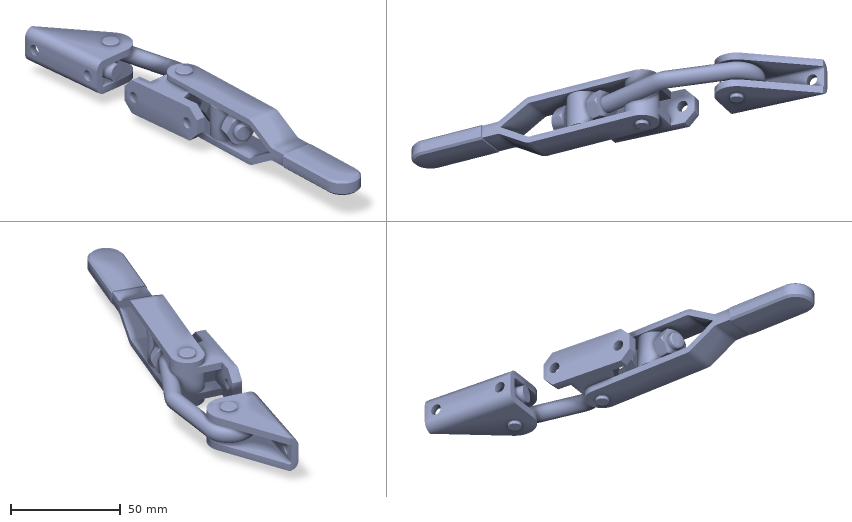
import cadquery as cq
import math


overall_length = 204.3
half_width = 8.5
plate = 3.5
pin_height = 18.8
pin_radius = 3.0
pin_head_radius = 4.0
pin_head_chamfer = 0.5
pin_head_height = 1.2
pin_stub_height = 1.6
screw_hole_diameter = 5.3
screw_spacing = 35.0

catch_length = 47.0
catch_nose_radius = 10.2
catch_bend_radius = 4.5
catch_pin = (catch_length - catch_nose_radius, pin_height)
catch_hole_x = 6.1

base_start = 65.0
base_length = 47.5
base_thickness = 5.0
base_corner = 5.0
base_hole_inset = 6.1
arm_radius = 8.0
pivot = (84.8, pin_height)
upright_foot_x = 98.7

lever_tilt = -3.9
lever_thickness = 3.0
bend_start = 55.2
bend_angle = 30.0
bend_inner_radius = 3.0
grip_start = 79.7
grip_margin = 0.6
grip_edge = 1.0

rod_radius = 4.0
hook_radius = 9.0
hook_tilt = 9.2
hook_tail = 10.0
hook_leg = 32.7
rod_bend_radius = 8.2
trunnion_distance = 30.5
trunnion_radius = 8.0
trunnion_half_length = 8.2
nut_width = 12.9
nut_height = 6.5
nut_chamfer = 0.8
rod_overhang = 2.7
rod_chamfer = 0.6


def along(start, angle, distance):
    """Point at a distance from the start, in the direction given in degrees."""
    turn = math.radians(angle)
    return (start[0] + distance * math.cos(turn), start[1] + distance * math.sin(turn))


def tangent_angle(point, center, radius, side):
    """Direction, from the center, of the point where the tangent from an outside point touches the circle."""
    dx, dy = point[0] - center[0], point[1] - center[1]
    return math.degrees(math.atan2(dy, dx) + side * math.acos(radius / math.hypot(dx, dy)))


def slab(outline, bottom, top):
    """Closed XY outline extruded between two Z levels."""
    return outline.extrude(top - bottom).translate((0, 0, bottom))


def disc(center, radius, bottom, top):
    return slab(cq.Workplane("XY").center(*center).circle(radius), bottom, top)


def pin(center, reach):
    """Headed pin through walls whose outer faces lie at Z = +reach and -reach."""
    shank = disc(center, pin_radius, -reach - pin_stub_height, reach)
    head = disc(center, pin_head_radius, reach, reach + pin_head_height).faces(">Z").chamfer(pin_head_chamfer)
    return shank.union(head)


def screw_holes(first_x, depth):
    """Two holes through a wall standing on the mounting face."""
    holes = cq.Workplane("XZ").pushPoints([(first_x, 0), (first_x + screw_spacing, 0)])
    return holes.circle(screw_hole_diameter / 2).extrude(-depth)


def make_catch():
    """Channel with two pointed cheeks, its screw holes and its pin."""
    height = pin_height + catch_nose_radius
    channel = (
        cq.Workplane("XY")
        .box(catch_length, height, 2 * half_width, centered=(False, False, True))
        .edges("|X and <Y").fillet(catch_bend_radius)
    )
    hollow = (
        cq.Workplane("XY")
        .box(catch_length, height, 2 * (half_width - plate), centered=(False, False, True))
        .edges("|X and <Y").fillet(catch_bend_radius - plate)
        .translate((0, plate, 0))
    )
    slope_start = (0, catch_bend_radius)
    touch = tangent_angle(slope_start, catch_pin, catch_nose_radius, -1)
    cheek = (
        cq.Workplane("XY")
        .polyline([slope_start, (0, 0), (catch_length, 0), (catch_length, pin_height)])
        .threePointArc(along(catch_pin, 45, catch_nose_radius), along(catch_pin, touch, catch_nose_radius))
        .close()
    )
    bracket = channel.cut(hollow).intersect(slab(cheek, -half_width, half_width))
    return bracket.cut(screw_holes(catch_hole_x, plate)).union(pin(catch_pin, half_width))


def make_base():
    """Mounting plate with a forked upright that carries the pivot hub."""
    foot = (
        cq.Workplane("XY")
        .box(base_length, base_thickness, 2 * half_width, centered=(False, False, True))
        .edges("|Y").chamfer(base_corner)
        .translate((base_start, 0, 0))
        .cut(screw_holes(base_start + base_hole_inset, base_thickness))
    )
    front_x = pivot[0] - arm_radius
    rear_foot = (upright_foot_x, base_thickness)
    touch = along(pivot, tangent_angle(rear_foot, pivot, arm_radius, 1), arm_radius)
    upright = (
        cq.Workplane("XY")
        .polyline([touch, rear_foot, (front_x, base_thickness), (front_x, pin_height)])
        .threePointArc((pivot[0], pin_height + arm_radius), touch)
        .close()
    )
    fork_gap = 2 * (half_width - plate)
    recess = (
        cq.Workplane("XY")
        .box(arm_radius, pin_height + arm_radius - base_thickness, fork_gap, centered=(False, False, True))
        .translate((front_x, base_thickness, 0))
    )
    hub = disc(pivot, arm_radius, -half_width, half_width)
    return foot.union(slab(upright, -half_width, half_width).cut(recess)).union(hub)


def lever_arm():
    """Upper half of the lever strip, straight along X from the pivot at the origin."""
    slope = math.tan(math.radians(bend_angle))
    outer_z = half_width + lever_thickness
    outer_bend = bend_start + lever_thickness * math.tan(math.radians(bend_angle / 2))
    strip_start = outer_bend + (outer_z - lever_thickness) / slope
    side = (
        cq.Workplane("XZ")
        .moveTo(0, half_width)
        .lineTo(bend_start, half_width)
        .lineTo(bend_start + half_width / slope, 0)
        .lineTo(grip_start, 0)
        .lineTo(grip_start, lever_thickness)
        .lineTo(strip_start, lever_thickness)
        .lineTo(outer_bend, outer_z)
        .lineTo(0, outer_z)
        .close()
        .extrude(arm_radius, both=True)
    )

    def bend_edge(x, z):
        return cq.selectors.NearestToPointSelector((x, 0, z))

    bent = (
        side.edges(bend_edge(outer_bend, outer_z)).fillet(bend_inner_radius + lever_thickness)
        .edges(bend_edge(bend_start, half_width)).fillet(bend_inner_radius)
        .edges(bend_edge(strip_start, lever_thickness)).fillet(bend_inner_radius)
    )
    return bent.union(disc((0, 0), arm_radius, half_width, outer_z))


def make_lever():
    """Two arms that join into a strip, with a round-ended grip over the end of the strip."""
    arm = lever_arm()
    grip_radius = arm_radius + grip_margin
    grip_half = lever_thickness + grip_margin
    grip_end = (overall_length - grip_radius - pivot[0]) / math.cos(math.radians(lever_tilt))
    grip_outline = (
        cq.Workplane("XY")
        .moveTo(grip_start, -grip_radius)
        .lineTo(grip_end, -grip_radius)
        .threePointArc((grip_end + grip_radius, 0), (grip_end, grip_radius))
        .lineTo(grip_start, grip_radius)
        .close()
    )
    grip = slab(grip_outline, -grip_half, grip_half).faces("<Z or >Z").edges("not <X").chamfer(grip_edge)
    lever = arm.union(arm.mirror("XY")).union(grip)
    return lever.rotate((0, 0, 0), (0, 0, 1), lever_tilt).translate((*pivot, 0))


def make_hook_rod():
    """Bent rod hooked round the catch pin, with its trunnion and the two nuts that clamp it."""
    trunnion = along(pivot, lever_tilt, trunnion_distance)
    hook_top = along(catch_pin, hook_tilt + 90, hook_radius)
    hook_back = along(catch_pin, hook_tilt + 180, hook_radius)
    hook_bottom = along(catch_pin, hook_tilt - 90, hook_radius)
    corner = along(hook_top, hook_tilt, hook_leg)

    rise, run = trunnion[1] - corner[1], trunnion[0] - corner[0]
    pull_angle = math.degrees(math.atan2(rise, run))
    half_turn = (hook_tilt - pull_angle) / 2
    setback = rod_bend_radius * math.tan(math.radians(half_turn))
    bend_depth = rod_bend_radius * (1 / math.cos(math.radians(half_turn)) - 1)
    bend_middle = along(corner, (hook_tilt + pull_angle) / 2 - 90, bend_depth)
    rod_end = along(trunnion, pull_angle, trunnion_radius + nut_height + rod_overhang)

    tail = along(hook_bottom, hook_tilt, hook_tail)
    path = (
        cq.Workplane("XY")
        .moveTo(*tail)
        .lineTo(*hook_bottom)
        .threePointArc(hook_back, hook_top)
        .lineTo(*along(corner, hook_tilt, -setback))
        .threePointArc(bend_middle, along(corner, pull_angle, setback))
        .lineTo(*rod_end)
    )
    tail_plane = cq.Plane(
        origin=(*tail, 0),
        xDir=(*along((0, 0), hook_tilt - 90, 1), 0),
        normal=(*along((0, 0), hook_tilt + 180, 1), 0),
    )
    rod = cq.Workplane(tail_plane).circle(rod_radius).sweep(path)
    rod = rod.faces(cq.selectors.NearestToPointSelector((*rod_end, 0))).chamfer(rod_chamfer)
    rod = rod.union(disc(trunnion, trunnion_radius, -trunnion_half_length, trunnion_half_length))

    across_corners = nut_width / math.cos(math.radians(30))
    round_off = cq.Workplane("YZ").circle(across_corners / 2).extrude(nut_height).edges().chamfer(nut_chamfer)
    nut = cq.Workplane("YZ").polygon(6, across_corners).extrude(nut_height).intersect(round_off)
    for offset in (-trunnion_radius - nut_height, trunnion_radius):
        placed = nut.translate((offset, 0, 0)).rotate((0, 0, 0), (0, 0, 1), pull_angle)
        rod = rod.union(placed.translate((*trunnion, 0)))
    return rod


def make_latch():
    """Base, lever, pivot pin and hook rod as one body."""
    latch = make_base().union(make_lever())
    return latch.union(pin(pivot, half_width + lever_thickness)).union(make_hook_rod())


catch = make_catch()
latch = make_latch()

result = cq.Compound.makeCompound([catch.solids().val(), latch.solids().val()])